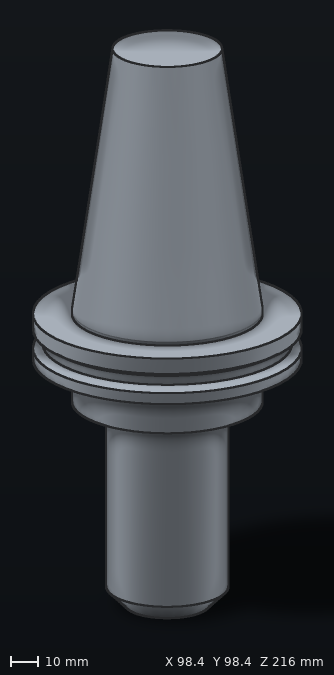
import cadquery as cq
import math

total_height = 216.0
taper_length = 101.7
taper_small_radius = 20.0
gauge_radius = 35.0
gauge_land_height = 1.3

flange_radius = 49.2
flange_height = 17.7
groove_root_radius = 45.8
groove_root_height = 3.5
groove_flank_angle = 30.0
groove_center_below_flange_top = 9.7

collar_height = 16.5
nose_radius = 22.5
nose_chamfer = 7.0

gauge_z = total_height - taper_length
flange_top_z = gauge_z - gauge_land_height
flange_bottom_z = flange_top_z - flange_height
collar_bottom_z = flange_bottom_z - collar_height
groove_center_z = flange_top_z - groove_center_below_flange_top


def make_body():
    """Revolve the holder's half profile about the Z axis."""
    return (
        cq.Workplane("XZ")
        .moveTo(0, 0)
        .lineTo(nose_radius - nose_chamfer, 0)
        .lineTo(nose_radius, nose_chamfer)
        .lineTo(nose_radius, collar_bottom_z)
        .lineTo(gauge_radius, collar_bottom_z)
        .lineTo(gauge_radius, flange_bottom_z)
        .lineTo(flange_radius, flange_bottom_z)
        .lineTo(flange_radius, flange_top_z)
        .lineTo(gauge_radius, flange_top_z)
        .lineTo(gauge_radius, gauge_z)
        .lineTo(taper_small_radius, total_height)
        .lineTo(0, total_height)
        .close()
        .revolve(360, (0, 0), (0, 1))
    )


def make_groove():
    """Ring with a flat root and sloped flanks, cut into the flange rim."""
    depth = flange_radius - groove_root_radius
    half_root = groove_root_height / 2
    half_mouth = half_root + depth * math.tan(math.radians(groove_flank_angle))
    return (
        cq.Workplane("XZ")
        .moveTo(flange_radius, groove_center_z - half_mouth)
        .lineTo(groove_root_radius, groove_center_z - half_root)
        .lineTo(groove_root_radius, groove_center_z + half_root)
        .lineTo(flange_radius, groove_center_z + half_mouth)
        .close()
        .revolve(360, (0, 0), (0, 1))
    )


result = make_body().cut(make_groove())